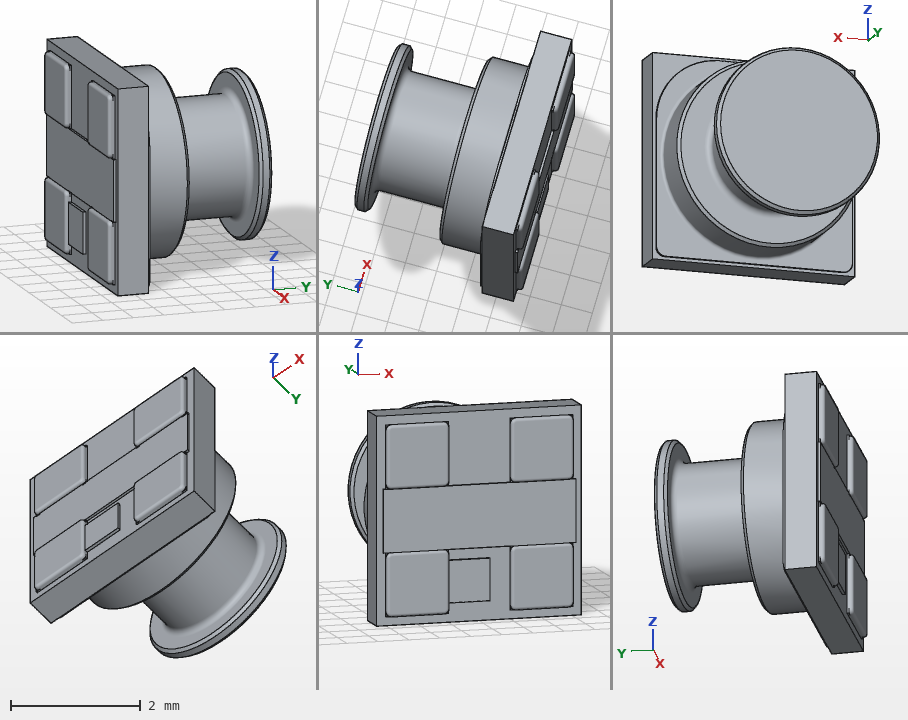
import cadquery as cq


board_side = 3.3
board_thickness = 0.5

foot_side = 3.2
foot_thickness = 0.04
foot_top_corner_radius = 1.025
foot_bottom_corner_radius = 0.15
drum_radius = 1.495
drum_length = 0.7
neck_radius = 0.955
neck_length = 1.2
flange_radius = 1.33
flange_thickness = 0.208
rim_chamfer = 0.05
drum_fillet = 0.05
neck_fillet = 0.1

pad_side = 1.005
pad_pitch = 2.005
pad_height = 0.1
pad_base_height = 0.025
pad_corner_radius = 0.075
pad_edge_fillet = 0.05

strip_length = 3.102
strip_width = pad_pitch - pad_side
strip_thickness = 0.04

mark_length = 0.66
mark_width = 0.67
mark_thickness = 0.05


def block(size_x, size_z, y_start, y_end, x=0.0, z=0.0):
    """Rectangular block centred on (x, z) that spans y_start to y_end."""
    return (
        cq.Workplane("XY")
        .box(size_x, y_end - y_start, size_z)
        .translate((x, (y_start + y_end) / 2, z))
    )


def make_board():
    return block(board_side, board_side, 0, board_thickness)


def make_lens_barrel():
    """Turned drum, neck and flange standing on a flat foot, all one piece."""
    foot_end = board_thickness + foot_thickness
    drum_end = foot_end + drum_length
    neck_end = drum_end + neck_length
    flange_end = neck_end + flange_thickness

    foot = block(foot_side, foot_side, board_thickness, foot_end)
    foot = foot.edges("|Y and >Z").fillet(foot_top_corner_radius)
    foot = foot.edges("|Y and <Z").fillet(foot_bottom_corner_radius)

    turned = (
        cq.Workplane("XY")
        .moveTo(0, foot_end)
        .lineTo(drum_radius + drum_fillet, foot_end)
        .radiusArc((drum_radius, foot_end + drum_fillet), drum_fillet)
        .lineTo(drum_radius, drum_end - rim_chamfer)
        .lineTo(drum_radius - rim_chamfer, drum_end)
        .lineTo(neck_radius + neck_fillet, drum_end)
        .radiusArc((neck_radius, drum_end + neck_fillet), neck_fillet)
        .lineTo(neck_radius, neck_end - neck_fillet)
        .radiusArc((neck_radius + neck_fillet, neck_end), neck_fillet)
        .lineTo(flange_radius - rim_chamfer, neck_end)
        .lineTo(flange_radius, neck_end + rim_chamfer)
        .lineTo(flange_radius, flange_end - rim_chamfer)
        .lineTo(flange_radius - rim_chamfer, flange_end)
        .lineTo(0, flange_end)
        .close()
        .revolve(360, (0, 0, 0), (0, 1, 0))
    )
    return foot.union(turned)


def make_pad(x, z):
    """Square base carrying a cap with rounded corners and a rounded outer rim."""
    base = block(pad_side, pad_side, -pad_base_height, 0, x, z)
    cap = block(pad_side, pad_side, -pad_height, -pad_base_height, x, z)
    cap = cap.edges("|Y").fillet(pad_corner_radius)
    cap = cap.faces("<Y").edges().fillet(pad_edge_fillet)
    return base.union(cap)


def make_mask_strip():
    return block(strip_length, strip_width, -strip_thickness, 0)


def make_index_mark():
    pad_inner_edge = -(pad_pitch - pad_side) / 2
    mark_x = pad_inner_edge + mark_length / 2
    return block(mark_length, mark_width, -mark_thickness, 0, mark_x, -pad_pitch / 2)


board = make_board()
lens_barrel = make_lens_barrel()
pads = [
    make_pad(x, z)
    for x in (-pad_pitch / 2, pad_pitch / 2)
    for z in (-pad_pitch / 2, pad_pitch / 2)
]
mask_strip = make_mask_strip()
index_mark = make_index_mark()

result = cq.Compound.makeCompound([
    board.val(),
    lens_barrel.val(),
    *[pad.val() for pad in pads],
    mask_strip.val(),
    index_mark.val(),
])